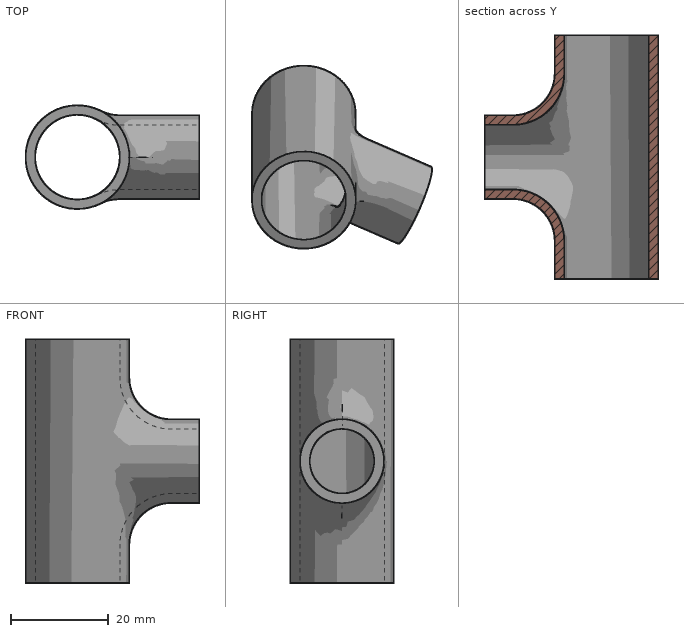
import cadquery as cq

WALL = 2.0

RUN_OUTER_DIAMETER = 21.3
RUN_LENGTH = 50.0

BRANCH_OUTER_DIAMETER = 17.2
BRANCH_END_X = 25.0

OUTER_BLEND_RADIUS = 8.5
INNER_BLEND_RADIUS = OUTER_BLEND_RADIUS + WALL


def blended_tee(run_diameter, branch_diameter, blend_radius):
    """Solid tee of two crossing cylinders with a rounded junction."""
    run = cq.Workplane("XY").circle(run_diameter / 2).extrude(RUN_LENGTH / 2, both=True)
    branch = cq.Workplane("YZ").circle(branch_diameter / 2).extrude(BRANCH_END_X)

    reach = run_diameter / 2
    junction = cq.selectors.BoxSelector((0, -reach, -reach), (reach, reach, reach))
    return run.union(branch).edges(junction).fillet(blend_radius)


body = blended_tee(RUN_OUTER_DIAMETER, BRANCH_OUTER_DIAMETER, OUTER_BLEND_RADIUS)
bores = blended_tee(
    RUN_OUTER_DIAMETER - 2 * WALL,
    BRANCH_OUTER_DIAMETER - 2 * WALL,
    INNER_BLEND_RADIUS,
)

result = body.cut(bores)